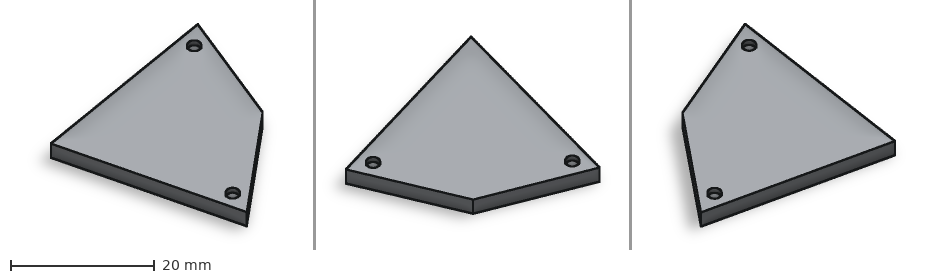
import cadquery as cq
import math

long_side = 30.0
corner_angle = 72.0
thickness = 3.0

hole_diameter = 2.0
hole_depth = 1.05
hole_x = 26.75
hole_y = 2.35


def mirror_across_axis(x, y):
    """Mirror a point about the line through the origin at half the corner angle."""
    angle = math.radians(corner_angle)
    return (
        x * math.cos(angle) + y * math.sin(angle),
        x * math.sin(angle) - y * math.cos(angle),
    )


half_angle = math.radians(corner_angle / 2)
tip_distance = long_side * math.sin(math.radians(corner_angle)) / math.sin(
    math.radians(180 - 1.5 * corner_angle)
)
tip = (tip_distance * math.cos(half_angle), tip_distance * math.sin(half_angle))

outline = [(0, 0), (long_side, 0), tip, mirror_across_axis(long_side, 0)]
plate = cq.Workplane("XY").polyline(outline).close().extrude(thickness)

hole_centers = [(hole_x, hole_y), mirror_across_axis(hole_x, hole_y)]
holes = (
    cq.Workplane("XY", origin=(0, 0, thickness))
    .pushPoints(hole_centers)
    .circle(hole_diameter / 2)
    .extrude(-hole_depth)
)

result = plate.cut(holes)